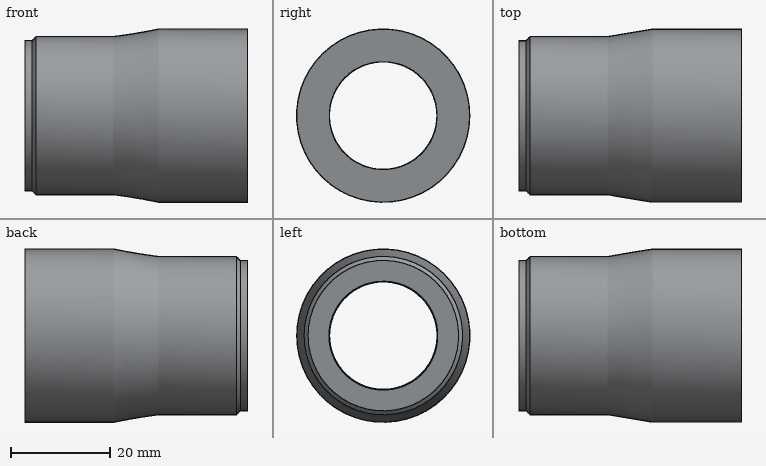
import cadquery as cq

length = 45.0
large_diameter = 35.0
small_diameter = 32.0
tip_diameter = 30.38
small_end_bore = 22.0
large_end_bore = 21.7

tip_length = 1.5
chamfer_length = (small_diameter - tip_diameter) / 2
small_end_length = 18.0
taper_length = 9.0

x_tip = -length / 2
x_chamfer_start = x_tip + tip_length
x_chamfer_end = x_chamfer_start + chamfer_length
x_taper_start = x_tip + small_end_length
x_taper_end = x_taper_start + taper_length
x_large_end = length / 2

outer_edge = [
    (x_tip, tip_diameter / 2),
    (x_chamfer_start, tip_diameter / 2),
    (x_chamfer_end, small_diameter / 2),
    (x_taper_start, small_diameter / 2),
    (x_taper_end, large_diameter / 2),
    (x_large_end, large_diameter / 2),
]

bore_edge = [
    (x_large_end, large_end_bore / 2),
    (x_taper_end, large_end_bore / 2),
    (x_taper_start, small_end_bore / 2),
    (x_tip, small_end_bore / 2),
]

half_section = cq.Workplane("XY").polyline(outer_edge + bore_edge).close()
result = half_section.revolve(360, (0, 0, 0), (1, 0, 0))